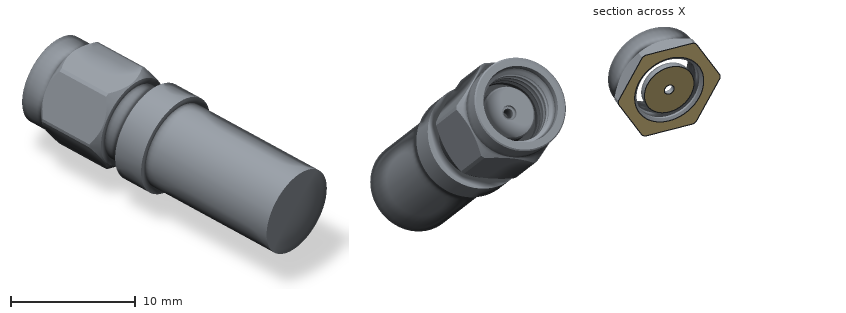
import cadquery as cq
import math


tip_x = 0.0
total_length = 25.6

collar_radius = 3.9
collar_length = 2.02
tip_chamfer = 0.1
hex_sides = 6
hex_across_flats = 7.95
hex_corner_diameter = 9.0
hex_start_x = tip_x + collar_length
nut_end_x = 8.35
hex_chamfer_length = 0.72

entry_radius = 3.18
entry_depth = 0.72
thread_minor_radius = 2.8
thread_pitch = 0.72
thread_crest = 0.18
thread_turns = 4
thread_half_angle = 30
lead_in_length = 0.38

flange_start_x = 10.2
flange_end_x = 12.9
neck_radius = 3.38
flange_diameter = 8.63
flange_radius = flange_diameter / 2
barrel_radius = 3.76
boss_radius = 2.2
boss_chamfer = 0.13
boss_tip_x = 2.71
shoulder_x = 4.35
contact_recess_radius = 0.61
contact_bore_radius = 0.4
contact_recess_depth = 0.25
contact_bore_depth = 1.28


def revolve_about_x(points):
    """Solid of revolution from a closed outline of (x, radius) points."""
    outline = cq.Workplane("XY").polyline(points).close()
    return outline.revolve(360, (0, 0, 0), (1, 0, 0))


def nut_envelope():
    """Round blank with both ends chamfered, which trims the corners of the hexagon."""
    corner_radius = hex_corner_diameter / 2
    return revolve_about_x([
        (hex_start_x, 0),
        (hex_start_x, collar_radius),
        (hex_start_x + hex_chamfer_length, corner_radius),
        (nut_end_x - hex_chamfer_length, corner_radius),
        (nut_end_x, collar_radius),
        (nut_end_x, 0),
    ])


def nut_bore():
    """Threaded cavity: entry counterbore, lead-in cone, ring-shaped thread grooves."""
    thread_start_x = tip_x + entry_depth + lead_in_length
    groove_width = thread_pitch - thread_crest
    groove_depth = groove_width / 2 / math.tan(math.radians(thread_half_angle))
    points = [
        (tip_x, 0),
        (tip_x, entry_radius),
        (tip_x + entry_depth, entry_radius),
        (thread_start_x, thread_minor_radius),
    ]
    for turn in range(thread_turns):
        groove_x = thread_start_x + turn * thread_pitch
        points += [
            (groove_x + groove_width / 2, thread_minor_radius + groove_depth),
            (groove_x + groove_width, thread_minor_radius),
            (groove_x + thread_pitch, thread_minor_radius),
        ]
    points += [(nut_end_x, thread_minor_radius), (nut_end_x, 0)]
    return revolve_about_x(points)


def make_nut():
    """Hexagonal nut with a round collar at the tip and a threaded bore right through."""
    hex_length = nut_end_x - hex_start_x
    corner_diameter = hex_across_flats / math.cos(math.pi / hex_sides)
    hexagon = (
        cq.Workplane("YZ", origin=(hex_start_x, 0, 0))
        .polygon(hex_sides, corner_diameter)
        .extrude(hex_length)
    )
    collar = (
        cq.Workplane("YZ", origin=(tip_x, 0, 0))
        .circle(collar_radius)
        .extrude(collar_length)
        .faces("<X")
        .chamfer(tip_chamfer)
    )
    return hexagon.intersect(nut_envelope()).union(collar).cut(nut_bore())


def make_body():
    """Turned body: central boss with a contact socket, plug filling the nut, neck, flange, barrel."""
    contact_face_x = boss_tip_x + contact_recess_depth
    contact_bore_end_x = contact_face_x + contact_bore_depth
    return revolve_about_x([
        (contact_bore_end_x, 0),
        (contact_bore_end_x, contact_bore_radius),
        (contact_face_x, contact_bore_radius),
        (contact_face_x, contact_recess_radius),
        (boss_tip_x, contact_recess_radius),
        (boss_tip_x, boss_radius - boss_chamfer),
        (boss_tip_x + boss_chamfer, boss_radius),
        (shoulder_x, boss_radius),
        (shoulder_x, thread_minor_radius),
        (nut_end_x, thread_minor_radius),
        (nut_end_x, neck_radius),
        (flange_start_x, neck_radius),
        (flange_start_x, flange_radius),
        (flange_end_x, flange_radius),
        (flange_end_x, barrel_radius),
        (total_length, barrel_radius),
        (total_length, 0),
    ])


nut = make_nut()
body = make_body()
result = cq.Compound.makeCompound([nut.val(), body.val()])